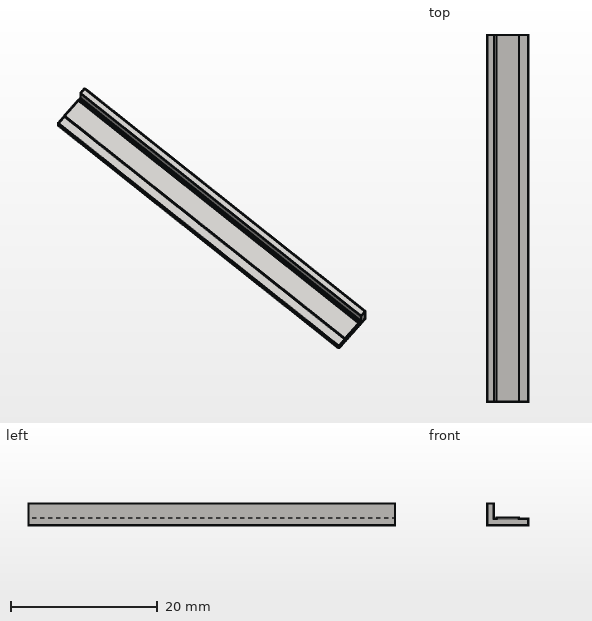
import cadquery as cq

width = 5.6
length = 50.0
height = 3.0

wall_thickness = 0.9
floor_thickness = 0.9
skin_thickness = 0.1

pad_width = 3.0
pad_height = 0.2
pad_gap = 0.4


def angle_bar(inset):
    """L-shaped bar along Y, wall on the -X side, with its outline moved inwards by the inset."""
    left = inset
    right = width - inset
    bottom = inset
    top = height - inset
    wall_face = wall_thickness - inset
    floor_face = floor_thickness - inset
    outline = [
        (left, bottom),
        (right, bottom),
        (right, floor_face),
        (wall_face, floor_face),
        (wall_face, top),
        (left, top),
    ]
    return cq.Workplane("XZ").polyline(outline).close().extrude(-length)


def floor_pad():
    """Low band lying on the floor beside the wall, over the full length."""
    pad = cq.Workplane("XY").box(pad_width, length, pad_height, centered=False)
    return pad.translate((wall_thickness + pad_gap, 0, floor_thickness))


core = angle_bar(skin_thickness)
skin = angle_bar(0).cut(core)
result = skin.union(core, clean=False).union(floor_pad(), clean=False)